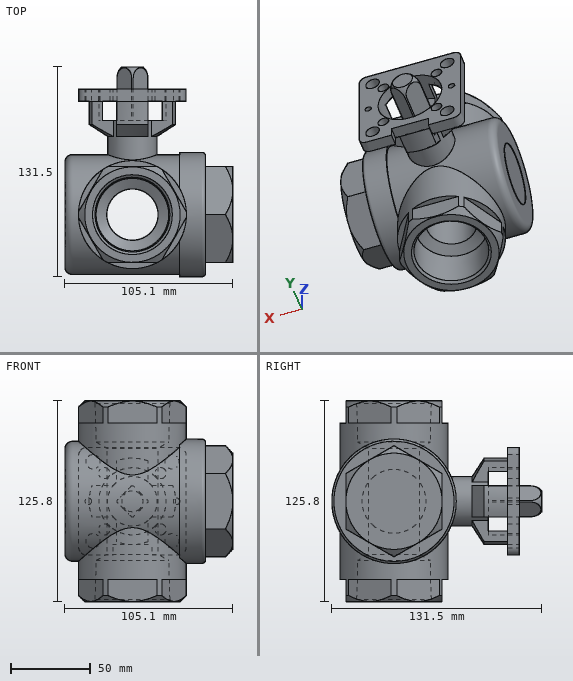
import cadquery as cq
import math


body_diameter = 75.2
body_start = -42.3
body_fillet = 4.9
recess_diameter = 40.0
recess_depth = 0.4
collar_diameter = 78.0
collar_start = 29.6
collar_end = 45.7
collar_fillet = 2.2

hex_flats = 60.2
hex_corners = hex_flats / math.cos(math.radians(30))
end_hex_end = 62.8
end_hex_chamfer = (hex_corners - hex_flats) / 2

port_diameter = 67.5
port_end = 62.9
port_hex_length = 13.9
port_chamfer = 4.0
passage_diameter = 32.0
thread_mouth_diameter = 50.0
thread_start_diameter = 46.8
thread_end_diameter = 45.4
thread_depth = 25.9
bore_cone_angle = 120

neck_diameter = 31.0
neck_end = 48.9
yoke_diameter = 54.2
yoke_cone_end = 56.4
yoke_floor = 59.0
yoke_bore_diameter = 42.0
arm_width = 19.7

flange_size = 67.3
flange_start = 70.9
flange_end = 78.5
flange_corner_radius = 5.0
large_hole_diameter = 9.0
large_hole_offset = 24.7
small_hole_diameter = 7.0
small_hole_offset = 17.6
pin_hole_diameter = 4.1
pin_hole_offset = 27.6
notch_width = 24.5
notch_depth = flange_size / 2 - yoke_diameter / 2

stem_diameter = 19.5
stem_flats = 14.5
stem_end = 92.48
stem_tip_diameter = 13.1
stem_tip_length = 7.0


def cylinder_x(diameter, start, end):
    return cq.Workplane("YZ", origin=(start, 0, 0)).circle(diameter / 2).extrude(end - start)


def plane_y(height):
    """Sketch plane at Y = height, facing +Y; its x is -X and its y is Z."""
    return cq.Workplane(cq.Plane(origin=(0, height, 0), xDir=(-1, 0, 0), normal=(0, 1, 0)))


def cylinder_y(diameter, start, end):
    return plane_y(start).circle(diameter / 2).extrude(end - start)


def revolve_about_y(profile):
    return profile.close().revolve(360, (0, 0, 0), (0, 1, 0))


def make_body():
    body = cylinder_x(body_diameter, body_start, collar_end).faces("<X").edges().fillet(body_fillet)
    collar = cylinder_x(collar_diameter, collar_start, collar_end)
    collar = collar.faces(">X").edges().fillet(collar_fillet)
    recess = cylinder_x(recess_diameter, body_start, body_start + recess_depth)
    return body.union(collar).cut(recess)


def make_end_hex():
    length = end_hex_end - collar_end
    sketch = cq.Workplane("YZ", origin=(collar_end, 0, 0))
    prism = sketch.transformed(rotate=(0, 0, 90)).polygon(6, hex_corners).extrude(length)
    envelope = cylinder_x(hex_corners, collar_end, end_hex_end)
    return prism.intersect(envelope.faces(">X").edges().chamfer(end_hex_chamfer))


def make_port():
    """Upper port: a round branch whose chamfered end is cut to a hexagon."""
    hex_start = port_end - port_hex_length
    branch = cq.Workplane("XY").circle(port_diameter / 2).extrude(hex_start)
    end = cq.Workplane("XY", origin=(0, 0, hex_start)).circle(port_diameter / 2).extrude(port_hex_length)
    end = end.faces(">Z").edges().chamfer(port_chamfer)
    prism = cq.Workplane("XY", origin=(0, 0, hex_start)).polygon(6, hex_corners).extrude(port_hex_length)
    return branch.union(end.intersect(prism))


def make_port_bore():
    """Upper half of the passage: countersunk tapered thread bore, cone, then straight passage."""
    passage_radius = passage_diameter / 2
    mouth_radius = thread_mouth_diameter / 2
    start_radius = thread_start_diameter / 2
    end_radius = thread_end_diameter / 2
    thread_end = port_end - thread_depth
    cone_length = (end_radius - passage_radius) / math.tan(math.radians(bore_cone_angle / 2))
    profile = (
        cq.Workplane("XZ")
        .lineTo(passage_radius, 0)
        .lineTo(passage_radius, thread_end - cone_length)
        .lineTo(end_radius, thread_end)
        .lineTo(start_radius, port_end - (mouth_radius - start_radius))
        .lineTo(mouth_radius, port_end)
        .lineTo(0, port_end)
    )
    return profile.close().revolve(360, (0, 0, 0), (0, 1, 0))


def make_yoke():
    """Four arms rising from the neck, cut from a cone and cylinder and hollow above the floor."""
    envelope = revolve_about_y(
        cq.Workplane("XY")
        .moveTo(0, neck_end)
        .lineTo(neck_diameter / 2, neck_end)
        .lineTo(yoke_diameter / 2, yoke_cone_end)
        .lineTo(yoke_diameter / 2, flange_start)
        .lineTo(0, flange_start)
    )
    height = flange_start - neck_end
    cross = plane_y(neck_end).rect(yoke_diameter, arm_width).extrude(height)
    cross = cross.union(plane_y(neck_end).rect(arm_width, yoke_diameter).extrude(height))
    neck = cylinder_y(neck_diameter, 0, yoke_floor)
    hollow = cylinder_y(yoke_bore_diameter, yoke_floor, flange_start)
    return envelope.intersect(cross).cut(hollow).union(neck)


def make_flange():
    thickness = flange_end - flange_start
    flange = plane_y(flange_start).rect(flange_size, flange_size).extrude(thickness)
    flange = flange.edges("|Y").fillet(flange_corner_radius)
    holes = cylinder_y(yoke_bore_diameter, flange_start, flange_end)
    for diameter, offset in (
        (large_hole_diameter, large_hole_offset),
        (small_hole_diameter, small_hole_offset),
    ):
        pattern = plane_y(flange_start).rect(2 * offset, 2 * offset, forConstruction=True).vertices()
        holes = holes.union(pattern.circle(diameter / 2).extrude(thickness))
    pin_points = [(-pin_hole_offset, 0), (pin_hole_offset, 0)]
    pin_holes = plane_y(flange_start).pushPoints(pin_points).circle(pin_hole_diameter / 2).extrude(thickness)
    notch_center = (notch_depth - flange_size) / 2
    notch = plane_y(flange_start).center(0, notch_center).rect(notch_width, notch_depth).extrude(thickness)
    return flange.cut(holes).cut(pin_holes).cut(notch)


def make_stem():
    """Square bar set on its corners, with rounded edges and a domed tip."""
    radius = stem_diameter / 2
    inset = radius - stem_tip_diameter / 2
    dome_radius = (stem_tip_length**2 + inset**2) / (2 * inset)
    dome_base = stem_end - stem_tip_length
    half_angle = math.asin(stem_tip_length / dome_radius) / 2
    dome_middle = (
        radius - dome_radius * (1 - math.cos(half_angle)),
        dome_base + dome_radius * math.sin(half_angle),
    )
    envelope = revolve_about_y(
        cq.Workplane("XY")
        .moveTo(0, yoke_floor)
        .lineTo(radius, yoke_floor)
        .lineTo(radius, dome_base)
        .threePointArc(dome_middle, (stem_tip_diameter / 2, stem_end))
        .lineTo(0, stem_end)
    )
    bar = plane_y(yoke_floor).transformed(rotate=(0, 0, 45)).rect(stem_flats, stem_flats)
    return envelope.intersect(bar.extrude(stem_end - yoke_floor))


port = make_port()
port_bore = make_port_bore()

valve = make_body().union(make_end_hex()).union(make_yoke()).union(make_flange()).union(make_stem())
valve = valve.union(port).union(port.mirror("XY"))
result = valve.cut(port_bore).cut(port_bore.mirror("XY"))